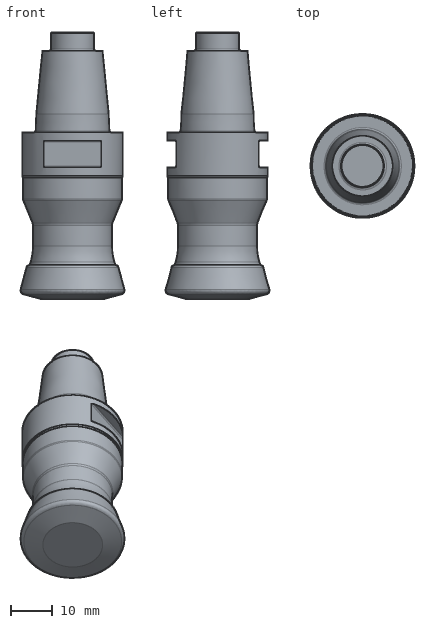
import cadquery as cq
import math

shoulder_corner_z = 8.05
shoulder_inner_z = 8.3
flare_bottom_z = 9.0
waist_bottom_z = 12.85
cone_bottom_z = 18.1
cone_top_z = 24.0
joint_z = 29.1
collar_chamfer_z = 29.6
collar_top_z = 40.05
neck_break_z = 44.5
neck_top_z = 59.6
total_height = 64.0

sole_radius = 7.2
shoulder_corner_radius = 10.95
shoulder_inner_radius = 10.3
flare_radius = 10.05
waist_radius = 19.0 / 2
barrel_radius = 23.8 / 2

foot_angle = math.radians(15)
foot_slope = math.tan(foot_angle)
rim_z = (
    foot_slope
    * (shoulder_corner_radius + foot_slope * shoulder_corner_z - sole_radius)
    / (1 + foot_slope**2)
)
rim_radius = sole_radius + rim_z / foot_slope

collar_radius = 24.2 / 2
neck_base_radius = 8.9
neck_break_radius = 8.7
neck_top_radius = 7.2
pin_radius = 10.4 / 2

flat_bottom_z = 31.7
flat_top_z = 38.1
flat_distance = 9.9
flat_root_fillet = 0.3

rim_fillet = 1.0
shoulder_fillet = 0.65
waist_fillet = 1.6
barrel_fillet = 0.95
neck_fillet = 0.4
pin_fillet = 0.5
pin_chamfer = 0.2


def fillet_ring(body, radius, z, size):
    """Round the circular edge of the given radius at height z."""
    ring = cq.selectors.BoxSelector(
        (-radius - 0.05, -radius - 0.05, z - 0.05),
        (radius + 0.05, radius + 0.05, z + 0.05),
        boundingbox=True,
    )
    return body.edges("%CIRCLE").edges(ring).edges(cq.selectors.RadiusNthSelector(-1)).fillet(size)


def make_lower_body():
    """Turned foot, waist and barrel, up to the joint under the collar."""
    flare_height = waist_bottom_z - flare_bottom_z
    flare_spread = flare_radius - waist_radius
    flare_arc_radius = (flare_height**2 + flare_spread**2) / (2 * flare_spread)
    body = (
        cq.Workplane("XZ")
        .lineTo(sole_radius, 0)
        .lineTo(rim_radius, rim_z)
        .lineTo(shoulder_corner_radius, shoulder_corner_z)
        .lineTo(shoulder_inner_radius, shoulder_inner_z)
        .lineTo(flare_radius, flare_bottom_z)
        .radiusArc((waist_radius, waist_bottom_z), flare_arc_radius)
        .lineTo(waist_radius, cone_bottom_z)
        .lineTo(barrel_radius, cone_top_z)
        .lineTo(barrel_radius, joint_z)
        .lineTo(0, joint_z)
        .close()
        .revolve(360, (0, 0, 0), (0, 1, 0))
    )
    body = fillet_ring(body, rim_radius, rim_z, rim_fillet)
    body = fillet_ring(body, shoulder_corner_radius, shoulder_corner_z, shoulder_fillet)
    body = fillet_ring(body, waist_radius, cone_bottom_z, waist_fillet)
    return fillet_ring(body, barrel_radius, cone_top_z, barrel_fillet)


def make_flat_cutter(side):
    """Block that removes one wrench flat; side is -1 or 1 along Y."""
    depth = collar_radius
    return (
        cq.Workplane("XY")
        .box(2 * collar_radius, depth, flat_top_z - flat_bottom_z)
        .edges("|X")
        .fillet(flat_root_fillet)
        .translate((0, side * (flat_distance + depth / 2), (flat_bottom_z + flat_top_z) / 2))
    )


def make_upper_body():
    """Turned collar with two wrench flats, tapered neck and end pin."""
    body = (
        cq.Workplane("XZ")
        .moveTo(0, joint_z)
        .lineTo(barrel_radius, joint_z)
        .lineTo(collar_radius, collar_chamfer_z)
        .lineTo(collar_radius, collar_top_z)
        .lineTo(neck_base_radius, collar_top_z)
        .lineTo(neck_break_radius, neck_break_z)
        .lineTo(neck_top_radius, neck_top_z)
        .lineTo(pin_radius, neck_top_z)
        .lineTo(pin_radius, total_height)
        .lineTo(0, total_height)
        .close()
        .revolve(360, (0, 0, 0), (0, 1, 0))
    )
    body = body.faces(">Z").edges().chamfer(pin_chamfer)
    body = fillet_ring(body, neck_base_radius, collar_top_z, neck_fillet)
    body = fillet_ring(body, pin_radius, neck_top_z, pin_fillet)
    for side in (-1, 1):
        body = body.cut(make_flat_cutter(side))
    return body


lower_body = make_lower_body()
upper_body = make_upper_body()

result = cq.Compound.makeCompound([lower_body.val(), upper_body.val()])